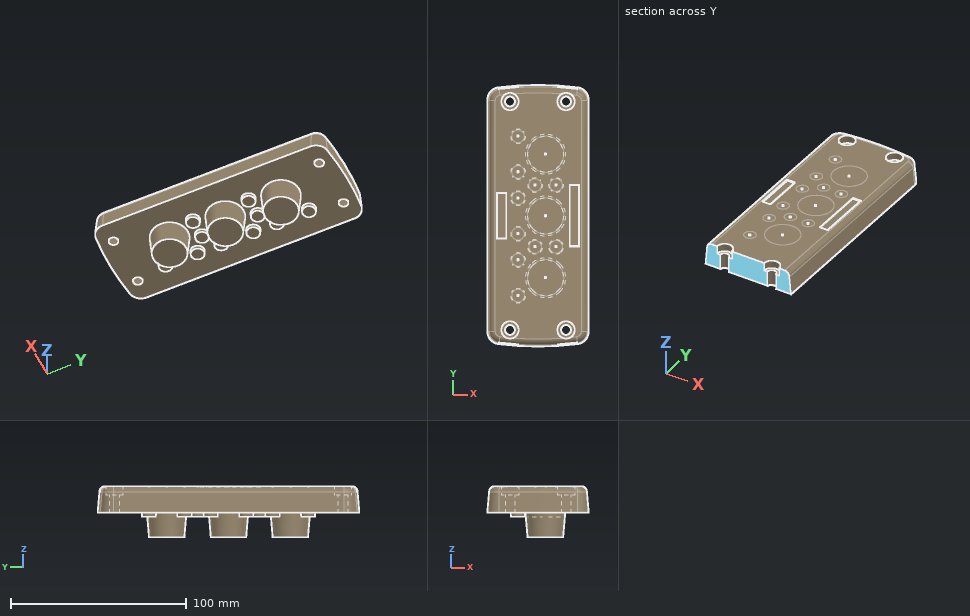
import cadquery as cq
import math

LENGTH = 149.5
WIDTH = 58.0
PLATE_HEIGHT = 15.3
RIM_HEIGHT = 0.5
END_RADIUS = 179.5
CORNER_RADIUS = 7.5
TOP_FILLET = 3.5
DRAFT_ANGLE = 5.0

SCREW_SPACING_X = 32.0
SCREW_SPACING_Y = 130.4
SCREW_DIAMETER = 5.5
COUNTERBORE_DIAMETER = 9.9
COUNTERBORE_DEPTH = 5.1

LARGE_DISC_DIAMETER = 20.8
LARGE_BOSS_DIAMETER = 22.9
LARGE_BOSS_DEPTH = 14.0
LARGE_PITCH = 35.3
LARGE_X = 4.2
SMALL_DISC_DIAMETER = 7.2
SMALL_BOSS_DIAMETER = 8.4
SMALL_BOSS_DEPTH = 2.4
PAIR_SPACING = 12.0
COLUMN_X = -11.5
COLUMN_HALF_GAP = 10.2
DIMPLE_DIAMETER = 0.9
DIMPLE_DEPTH = 0.5

LABEL_WIDTH = 5.4
LABEL_CENTER_X = 21.0
LEFT_LABEL_LENGTH = 26.5
RIGHT_LABEL_LENGTH = 35.5
LABEL_DEPTH = 0.3
LABEL_SLOPE = 0.5

large_points = [(LARGE_X, row * LARGE_PITCH) for row in (-1, 0, 1)]
pair_points = [
    (LARGE_X + side * PAIR_SPACING / 2, row * LARGE_PITCH / 2)
    for side in (-1, 1)
    for row in (-1, 1)
]
column_points = [
    (COLUMN_X, row * LARGE_PITCH + side * COLUMN_HALF_GAP)
    for row in (-1, 0, 1)
    for side in (-1, 1)
]
small_points = pair_points + column_points


def plate_outline(plane_z):
    """Outline at height plane_z: a rectangle whose short ends bow outwards, with rounded corners."""
    half_width = WIDTH / 2
    end_sagitta = END_RADIUS - math.sqrt(END_RADIUS**2 - half_width**2)
    corner_y = LENGTH / 2 - end_sagitta
    outline = (
        cq.Sketch()
        .segment((half_width, -corner_y), (half_width, corner_y))
        .arc((half_width, corner_y), (0, LENGTH / 2), (-half_width, corner_y))
        .segment((-half_width, corner_y), (-half_width, -corner_y))
        .arc((-half_width, -corner_y), (0, -LENGTH / 2), (half_width, -corner_y))
        .assemble()
        .vertices()
        .fillet(CORNER_RADIUS)
    )
    return cq.Workplane("XY", origin=(0, 0, plane_z)).placeSketch(outline)


def make_plate():
    """Straight rim at the bottom, drafted sides above it and a rounded top edge."""
    rim = plate_outline(0).extrude(RIM_HEIGHT)
    upper = plate_outline(RIM_HEIGHT).extrude(PLATE_HEIGHT - RIM_HEIGHT, taper=DRAFT_ANGLE)
    upper = upper.faces(">Z").edges().fillet(TOP_FILLET)
    return rim.union(upper)


def make_plug(point, disc_diameter, boss_diameter, boss_depth):
    """Turned plug through the plate with a drafted boss underneath."""
    boss_radius = boss_diameter / 2
    tip_radius = boss_radius - boss_depth * math.tan(math.radians(DRAFT_ANGLE))
    return (
        cq.Workplane("XZ")
        .moveTo(0, PLATE_HEIGHT)
        .lineTo(disc_diameter / 2, PLATE_HEIGHT)
        .lineTo(boss_radius, 0)
        .lineTo(tip_radius, -boss_depth)
        .lineTo(0, -boss_depth)
        .close()
        .revolve(360, (0, 0, 0), (0, 1, 0))
        .translate((point[0], point[1], 0))
    )


def make_label_cutter(side, length):
    """Recess whose floor is inset at its outer long edge and at both ends."""
    return (
        cq.Workplane("XY", origin=(0, 0, PLATE_HEIGHT))
        .center(side * LABEL_CENTER_X, 0)
        .rect(LABEL_WIDTH, length)
        .workplane(offset=-LABEL_DEPTH)
        .center(-side * LABEL_SLOPE / 2, 0)
        .rect(LABEL_WIDTH - LABEL_SLOPE, length - 2 * LABEL_SLOPE)
        .loft(ruled=True)
    )


plate = make_plate()
plate = (
    plate.faces(">Z")
    .workplane(origin=(0, 0, PLATE_HEIGHT))
    .rect(SCREW_SPACING_X, SCREW_SPACING_Y, forConstruction=True)
    .vertices()
    .cboreHole(SCREW_DIAMETER, COUNTERBORE_DIAMETER, COUNTERBORE_DEPTH)
)
plate = plate.cut(make_label_cutter(-1, LEFT_LABEL_LENGTH))
plate = plate.cut(make_label_cutter(1, RIGHT_LABEL_LENGTH))

for plug_point in large_points:
    plug = make_plug(plug_point, LARGE_DISC_DIAMETER, LARGE_BOSS_DIAMETER, LARGE_BOSS_DEPTH)
    plate = plate.union(plug, clean=False)
for plug_point in small_points:
    plug = make_plug(plug_point, SMALL_DISC_DIAMETER, SMALL_BOSS_DIAMETER, SMALL_BOSS_DEPTH)
    plate = plate.union(plug, clean=False)

dimples = (
    cq.Workplane("XY", origin=(0, 0, PLATE_HEIGHT))
    .pushPoints(large_points + small_points)
    .circle(DIMPLE_DIAMETER / 2)
    .extrude(-DIMPLE_DEPTH)
)
result = plate.cut(dimples, clean=False)